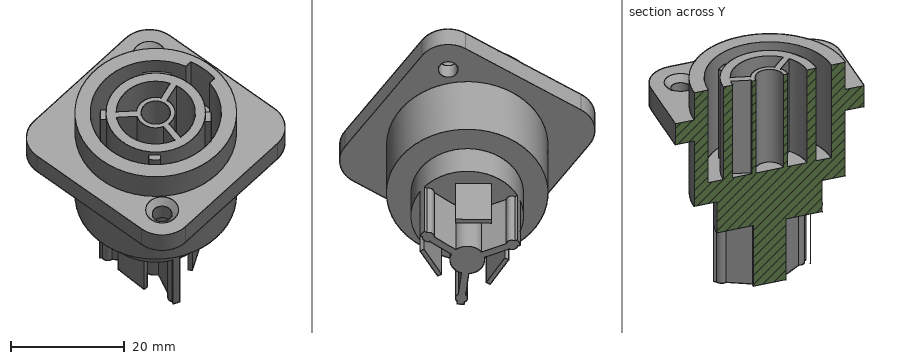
import cadquery as cq
import math

TOTAL_HEIGHT = 43.0
RING_BOTTOM = 12.7
BARREL_BOTTOM = 19.18
FLANGE_THICKNESS = 4.47
FLANGE_TOP = 37.32
FLANGE_BOTTOM = FLANGE_TOP - FLANGE_THICKNESS

FLANGE_SIDE = 35.4
FLANGE_CORNER_RADIUS = 5.5
BARREL_DIAMETER = 28.4
RING_DIAMETER = 19.8

SCREW_OFFSET = 12.15
SCREW_HOLE_DIAMETER = 3.45
COUNTERSINK_DIAMETER = 5.75
COUNTERSINK_ANGLE = 90.0

SOCKET_DIAMETER = 23.0
SOCKET_DEPTH = 19.35
SLEEVE_OUTER_DIAMETER = 17.45
SLEEVE_INNER_DIAMETER = 13.9
SLEEVE_MIDDLE_DIAMETER = (SLEEVE_INNER_DIAMETER + SLEEVE_OUTER_DIAMETER) / 2
HUB_OUTER_DIAMETER = 6.75
HUB_BORE_DIAMETER = 5.1
SPOKE_THICKNESS = 1.2
SPOKE_ANGLES = (105, 225, 345)
KEYWAY_WIDTH = 5.55
KEYWAY_OUTER_RADIUS = 12.8
KEYWAY_ANGLE = 90

KEY_OUTER_RADIUS = 9.75
KEY_DROP = 0.9
KEY_WIDTH = 2.05
WIDE_KEY_WIDTH = 4.95
KEY_ANGLES = (40, 220, 310)
WIDE_KEY_ANGLE = 130

CORE_DIAMETER = 6.1
ARM_THICKNESS = 1.3
ARM_ANGLES = (93, 213, 333)
BEAD_DIAMETER = 2.1
BEAD_RADIUS_FROM_AXIS = 8.5

BLADE_WIDTH = 6.35
BLADE_THICKNESS = 0.8
BLADE_OUTER_DISTANCE = 7.2
BLADE_SIDE_SHIFT = 1.0
BLADE_BOTTOM = 2.4
BLADE_ANGLES = (27, 147, 267)

SOCKET_FLOOR = TOTAL_HEIGHT - SOCKET_DEPTH


def cylinder(diameter, bottom, top):
    return cq.Workplane("XY").workplane(offset=bottom).circle(diameter / 2).extrude(top - bottom)


def radial_bar(inner, outer, width, bottom, top, angle, side_shift=0.0):
    """Block reaching from inner to outer along a direction turned from +X by angle."""
    bar = cq.Workplane("XY").box(outer - inner, width, top - bottom, centered=(False, True, False))
    return bar.translate((inner, side_shift, bottom)).rotate((0, 0, 0), (0, 0, 1), angle)


def make_body():
    flange = (
        cq.Workplane("XY")
        .workplane(offset=FLANGE_BOTTOM)
        .rect(FLANGE_SIDE, FLANGE_SIDE)
        .extrude(FLANGE_THICKNESS)
        .edges("|Z")
        .fillet(FLANGE_CORNER_RADIUS)
        .faces(">Z")
        .workplane(origin=(0, 0, FLANGE_TOP))
        .pushPoints([(-SCREW_OFFSET, SCREW_OFFSET), (SCREW_OFFSET, -SCREW_OFFSET)])
        .cskHole(SCREW_HOLE_DIAMETER, COUNTERSINK_DIAMETER, COUNTERSINK_ANGLE)
    )
    barrel = cylinder(BARREL_DIAMETER, BARREL_BOTTOM, TOTAL_HEIGHT)
    ring = cylinder(RING_DIAMETER, RING_BOTTOM, BARREL_BOTTOM)
    return flange.union(barrel).union(ring)


def make_socket_cavity():
    cavity = cylinder(SOCKET_DIAMETER, SOCKET_FLOOR, TOTAL_HEIGHT)
    keyway = radial_bar(0, KEYWAY_OUTER_RADIUS, KEYWAY_WIDTH, FLANGE_BOTTOM, TOTAL_HEIGHT, KEYWAY_ANGLE)
    keyway_limit = cylinder(2 * KEYWAY_OUTER_RADIUS, FLANGE_BOTTOM, TOTAL_HEIGHT)
    return cavity.union(keyway.intersect(keyway_limit))


def make_sleeve():
    sleeve = cylinder(SLEEVE_OUTER_DIAMETER, SOCKET_FLOOR, TOTAL_HEIGHT)
    sleeve = sleeve.cut(cylinder(SLEEVE_INNER_DIAMETER, SOCKET_FLOOR, TOTAL_HEIGHT))
    sleeve = sleeve.union(cylinder(HUB_OUTER_DIAMETER, SOCKET_FLOOR, TOTAL_HEIGHT))
    spoke_end = SLEEVE_MIDDLE_DIAMETER / 2
    for angle in SPOKE_ANGLES:
        sleeve = sleeve.union(
            radial_bar(0, spoke_end, SPOKE_THICKNESS, SOCKET_FLOOR, TOTAL_HEIGHT, angle)
        )
    return sleeve.cut(cylinder(HUB_BORE_DIAMETER, SOCKET_FLOOR, TOTAL_HEIGHT))


def make_keys():
    key_top = TOTAL_HEIGHT - KEY_DROP
    bar_end = 2 * KEY_OUTER_RADIUS
    keys = radial_bar(0, bar_end, WIDE_KEY_WIDTH, SOCKET_FLOOR, key_top, WIDE_KEY_ANGLE)
    for angle in KEY_ANGLES:
        keys = keys.union(radial_bar(0, bar_end, KEY_WIDTH, SOCKET_FLOOR, key_top, angle))
    keys = keys.intersect(cylinder(2 * KEY_OUTER_RADIUS, SOCKET_FLOOR, key_top))
    return keys.cut(cylinder(SLEEVE_MIDDLE_DIAMETER, SOCKET_FLOOR, key_top))


def make_separator():
    separator = cylinder(CORE_DIAMETER, 0, RING_BOTTOM)
    for angle in ARM_ANGLES:
        direction = math.radians(angle)
        bead = cylinder(BEAD_DIAMETER, 0, RING_BOTTOM).translate((
            BEAD_RADIUS_FROM_AXIS * math.cos(direction),
            BEAD_RADIUS_FROM_AXIS * math.sin(direction),
            0,
        ))
        arm = radial_bar(0, RING_DIAMETER, ARM_THICKNESS, 0, RING_BOTTOM, angle)
        separator = separator.union(arm).union(bead)
    return separator.intersect(cylinder(RING_DIAMETER, 0, RING_BOTTOM))


def add_blades(part):
    blade_inner_distance = BLADE_OUTER_DISTANCE - BLADE_THICKNESS
    for angle in BLADE_ANGLES:
        part = part.union(radial_bar(
            blade_inner_distance, BLADE_OUTER_DISTANCE, BLADE_WIDTH,
            BLADE_BOTTOM, RING_BOTTOM, angle, BLADE_SIDE_SHIFT,
        ))
    return part


connector = make_body().cut(make_socket_cavity())
connector = connector.union(make_sleeve()).union(make_keys()).union(make_separator())
result = add_blades(connector)